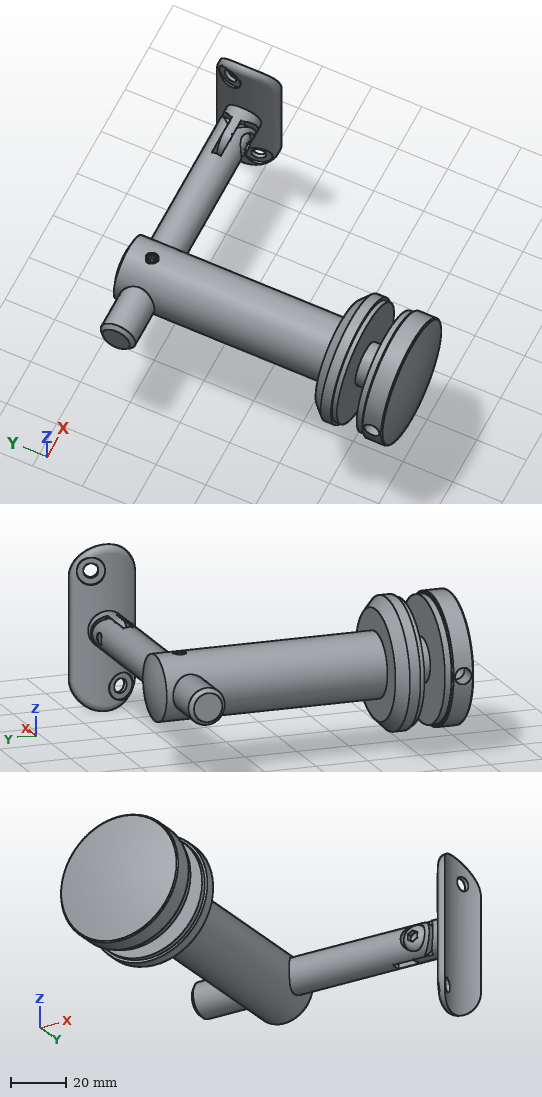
import cadquery as cq
import math


POST_RADIUS = 12.5
POST_RIM_Y = 9.5
POST_DOME_RISE = 2.5
POST_LENGTH = 85.2

DISC_RADIUS = 2 * POST_RADIUS
GASKET_RADIUS = 23.9
SLEEVE_RADIUS = 8.5
FLANGE_CONE_HEIGHT = 4.1
FLANGE_RIM_HEIGHT = 4.1
BACK_GASKET_THICKNESS = 1.9
GLASS_GAP = 7.9
FRONT_GASKET_THICKNESS = 2.5
DISC_THICKNESS = 8.3
DISC_CHAMFER = 0.5
DISC_DOME_RISE = 3.0
SPANNER_HOLE_RADIUS = 3.1
SPANNER_HOLE_DEPTH = 7.2
DRILL_POINT_ANGLE = 118

ARM_RADIUS = 14.0 / 2
ARM_END_X = -30.0
ARM_CHAMFER = 1.5
HINGE_X = 64.9
FORK_SLOT_WIDTH = 3.6
FORK_SLOT_X = 53.5
KNUCKLE_CLEARANCE = 1.5

HINGE_HEAD_RADIUS = 5.2
HINGE_HEAD_SEAT = 3.8
HINGE_HEAD_ROUND = 3.1
HINGE_SHANK_RADIUS = 2.3
HINGE_SOCKET_FLATS = 4.0
HINGE_SOCKET_DEPTH = 1.9

SET_SCREW_RADIUS = 2.4
SET_SCREW_TOP_Z = 12.2
SET_SCREW_CHAMFER = 0.6
SET_SOCKET_FLATS = 2.5
SET_SOCKET_DEPTH = 2.4

PLATE_BACK_X = 77.9
PLATE_BEND_RADIUS = 20.9
PLATE_THICKNESS = 2.6
PLATE_HALF_WIDTH = 12.5
PLATE_HALF_HEIGHT = 63.0 / 2
PLATE_STRAIGHT_Z = 19.9
PLATE_FILLET = 2.4
PLATE_HOLE_RADIUS = 2.8
PLATE_SEAT_RADIUS = 5.2
PLATE_SEAT_DEPTH = 1.0
PLATE_HOLE_ANGLE = 14.7
PLATE_HOLE_Z = 22.3

FLANGE_Y = POST_RIM_Y - POST_LENGTH
FLANGE_RIM_Y = FLANGE_Y - FLANGE_CONE_HEIGHT
BACK_GASKET_Y = FLANGE_RIM_Y - FLANGE_RIM_HEIGHT
GLASS_Y = BACK_GASKET_Y - BACK_GASKET_THICKNESS
FRONT_GASKET_Y = GLASS_Y - GLASS_GAP
DISC_Y = FRONT_GASKET_Y - FRONT_GASKET_THICKNESS
DISC_RIM_Y = DISC_Y - DISC_THICKNESS

PLATE_OUTER_RADIUS = PLATE_BEND_RADIUS + PLATE_THICKNESS
BEND_AXIS_X = PLATE_BACK_X + PLATE_BEND_RADIUS


def rod(start, direction, length, radius):
    """Cylinder from a start point along a direction."""
    return cq.Workplane(obj=cq.Solid.makeCylinder(radius, length, cq.Vector(*start), cq.Vector(*direction)))


def rod_x(start, end, radius):
    return rod((start, 0, 0), (1, 0, 0), end - start, radius)


def rod_y(start, end, radius, x=0):
    return rod((x, start, 0), (0, 1, 0), end - start, radius)


def upright(radius, x):
    """Cylinder along Z, taller than the plate."""
    height = 3 * PLATE_HALF_HEIGHT
    return rod((x, 0, -height / 2), (0, 0, 1), height, radius)


def drill_tip(start, direction, radius):
    """Cone left by a drill at the bottom of a hole."""
    height = radius / math.tan(math.radians(DRILL_POINT_ANGLE / 2))
    return cq.Workplane(obj=cq.Solid.makeCone(radius, 0, height, cq.Vector(*start), cq.Vector(*direction)))


def hex_corners(flats):
    """Distance across the corners of a hexagon."""
    return flats / math.cos(math.pi / 6)


def fork_slab(start, end):
    """Slab in the middle of the hinge, as wide as the fork slot."""
    size = 4 * ARM_RADIUS
    return cq.Workplane("XY").box(end - start, FORK_SLOT_WIDTH, size).translate(((start + end) / 2, 0, 0))


def hinge_drum(radius):
    """Cylinder round the hinge axis, wider than the arm."""
    return rod_y(-2 * ARM_RADIUS, 2 * ARM_RADIUS, radius, HINGE_X)


def revolve_round_y(profile):
    return profile.close().revolve(360, (0, 0, 0), (0, 1, 0))


def dome_mid(radius, rim_y, rise):
    """Point halfway along a dome arc that runs from the rim to the apex."""
    sphere_radius = (radius**2 + rise**2) / (2 * abs(rise))
    half_angle = math.asin(radius / sphere_radius) / 2
    sag = sphere_radius * (1 - math.cos(half_angle))
    return (sphere_radius * math.sin(half_angle), rim_y + rise - math.copysign(sag, rise))


def make_post():
    body = revolve_round_y(
        cq.Workplane("XY")
        .moveTo(0, FLANGE_Y)
        .lineTo(POST_RADIUS, FLANGE_Y)
        .lineTo(POST_RADIUS, POST_RIM_Y)
        .threePointArc(dome_mid(POST_RADIUS, POST_RIM_Y, POST_DOME_RISE), (0, POST_RIM_Y + POST_DOME_RISE))
    )
    arm_bore = rod_x(-2 * POST_RADIUS, 2 * POST_RADIUS, ARM_RADIUS)
    screw_hole = rod((0, 0, 0), (0, 0, 1), 2 * POST_RADIUS, SET_SCREW_RADIUS)
    return body.cut(arm_bore).cut(screw_hole)


def make_set_screw():
    length = SET_SCREW_TOP_Z - ARM_RADIUS
    screw = rod((0, 0, ARM_RADIUS), (0, 0, 1), length, SET_SCREW_RADIUS)
    screw = screw.faces(">Z").chamfer(SET_SCREW_CHAMFER)
    socket = (
        cq.Workplane("XY", origin=(0, 0, SET_SCREW_TOP_Z))
        .transformed(rotate=(0, 0, 90))
        .polygon(6, hex_corners(SET_SOCKET_FLATS))
        .extrude(-SET_SOCKET_DEPTH)
    )
    return screw.cut(socket)


def make_flange():
    return revolve_round_y(
        cq.Workplane("XY")
        .moveTo(0, FLANGE_Y)
        .lineTo(DISC_RADIUS - FLANGE_CONE_HEIGHT, FLANGE_Y)
        .lineTo(DISC_RADIUS, FLANGE_RIM_Y)
        .lineTo(DISC_RADIUS, BACK_GASKET_Y)
        .lineTo(0, BACK_GASKET_Y)
    )


def make_back_gasket():
    return rod_y(GLASS_Y, BACK_GASKET_Y, GASKET_RADIUS)


def make_front_gasket():
    """Gasket with the sleeve that passes through the glass."""
    gasket = rod_y(DISC_Y, FRONT_GASKET_Y, GASKET_RADIUS)
    sleeve = rod_y(FRONT_GASKET_Y, GLASS_Y, SLEEVE_RADIUS)
    return gasket.union(sleeve)


def make_disc():
    face_radius = DISC_RADIUS - DISC_CHAMFER
    body = revolve_round_y(
        cq.Workplane("XY")
        .moveTo(0, DISC_Y)
        .lineTo(face_radius, DISC_Y)
        .lineTo(DISC_RADIUS, DISC_Y - DISC_CHAMFER)
        .lineTo(DISC_RADIUS, DISC_RIM_Y + DISC_CHAMFER)
        .lineTo(face_radius, DISC_RIM_Y)
        .threePointArc(dome_mid(face_radius, DISC_RIM_Y, -DISC_DOME_RISE), (0, DISC_RIM_Y - DISC_DOME_RISE))
    )
    hole_y = (DISC_Y + DISC_RIM_Y) / 2
    hole = rod((-DISC_RADIUS, hole_y, 0), (1, 0, 0), SPANNER_HOLE_DEPTH, SPANNER_HOLE_RADIUS)
    tip = drill_tip((SPANNER_HOLE_DEPTH - DISC_RADIUS, hole_y, 0), (1, 0, 0), SPANNER_HOLE_RADIUS)
    return body.cut(hole).cut(tip)


def make_arm():
    shaft = rod_x(ARM_END_X, HINGE_X, ARM_RADIUS).faces("<X").chamfer(ARM_CHAMFER)
    fork_tip = rod_x(HINGE_X, HINGE_X + ARM_RADIUS, ARM_RADIUS).intersect(hinge_drum(ARM_RADIUS))
    slot = fork_slab(FORK_SLOT_X, HINGE_X + 2 * ARM_RADIUS)
    shank_hole = rod_y(-ARM_RADIUS, ARM_RADIUS, HINGE_SHANK_RADIUS, HINGE_X)
    head_recess = rod_y(-2 * ARM_RADIUS, -HINGE_HEAD_SEAT, HINGE_HEAD_RADIUS, HINGE_X)
    return shaft.union(fork_tip).cut(slot).cut(shank_hole).cut(head_recess)


def make_hinge_screw():
    shank_end_y = math.sqrt(ARM_RADIUS**2 - HINGE_SHANK_RADIUS**2)
    shank = rod_y(-HINGE_HEAD_SEAT, shank_end_y, HINGE_SHANK_RADIUS)
    head = rod_y(-ARM_RADIUS, -HINGE_HEAD_SEAT, HINGE_HEAD_RADIUS)
    head = head.faces("<Y").edges().fillet(HINGE_HEAD_ROUND)
    screw = head.union(shank)
    socket = (
        cq.Workplane("XZ", origin=(0, -ARM_RADIUS, 0))
        .transformed(rotate=(0, 0, 90))
        .polygon(6, hex_corners(HINGE_SOCKET_FLATS))
        .extrude(-HINGE_SOCKET_DEPTH)
    )
    tip = drill_tip((0, HINGE_SOCKET_DEPTH - ARM_RADIUS, 0), (0, 1, 0), HINGE_SOCKET_FLATS / 2)
    return screw.cut(socket).cut(tip).translate((HINGE_X, 0, 0))


def make_knuckle():
    """Round stub with a tongue that fills the fork, seated on the plate."""
    round_end = rod_x(HINGE_X - ARM_RADIUS, HINGE_X, ARM_RADIUS).intersect(hinge_drum(ARM_RADIUS))
    stub = rod_x(HINGE_X, BEND_AXIS_X, ARM_RADIUS).cut(upright(PLATE_OUTER_RADIUS, BEND_AXIS_X))
    tongue_sides = hinge_drum(ARM_RADIUS + KNUCKLE_CLEARANCE).cut(
        fork_slab(HINGE_X - 2 * ARM_RADIUS, HINGE_X + 2 * ARM_RADIUS)
    )
    shank_hole = rod_y(-ARM_RADIUS, ARM_RADIUS, HINGE_SHANK_RADIUS, HINGE_X)
    return round_end.union(stub).cut(tongue_sides).cut(shank_hole)


def make_plate():
    outline = (
        cq.Workplane("YZ")
        .moveTo(-PLATE_HALF_WIDTH, -PLATE_STRAIGHT_Z)
        .threePointArc((0, -PLATE_HALF_HEIGHT), (PLATE_HALF_WIDTH, -PLATE_STRAIGHT_Z))
        .lineTo(PLATE_HALF_WIDTH, PLATE_STRAIGHT_Z)
        .threePointArc((0, PLATE_HALF_HEIGHT), (-PLATE_HALF_WIDTH, PLATE_STRAIGHT_Z))
        .close()
        .extrude(BEND_AXIS_X)
    )
    shell = upright(PLATE_OUTER_RADIUS, BEND_AXIS_X).cut(upright(PLATE_BEND_RADIUS, BEND_AXIS_X))
    plate = outline.intersect(shell)
    plate = plate.faces(cq.selectors.NearestToPointSelector((0, 0, 0))).edges().fillet(PLATE_FILLET)
    for side in (1, -1):
        angle = math.radians(PLATE_HOLE_ANGLE) * side
        inward = cq.Vector(math.cos(angle), -math.sin(angle), 0)
        axis_point = cq.Vector(BEND_AXIS_X, 0, PLATE_HOLE_Z * side)
        seat_floor = axis_point - inward * (PLATE_OUTER_RADIUS - PLATE_SEAT_DEPTH)
        hole = rod(seat_floor.toTuple(), inward.toTuple(), 2 * PLATE_THICKNESS, PLATE_HOLE_RADIUS)
        seat = rod(seat_floor.toTuple(), (-inward).toTuple(), 2 * PLATE_THICKNESS, PLATE_SEAT_RADIUS)
        plate = plate.cut(hole).cut(seat)
    return plate


post = make_post()
set_screw = make_set_screw()
flange = make_flange()
back_gasket = make_back_gasket()
front_gasket = make_front_gasket()
disc = make_disc()
arm = make_arm()
hinge_screw = make_hinge_screw()
knuckle = make_knuckle()
plate = make_plate()

result = cq.Compound.makeCompound([
    post.solids().val(),
    set_screw.solids().val(),
    flange.solids().val(),
    back_gasket.solids().val(),
    front_gasket.solids().val(),
    disc.solids().val(),
    arm.solids().val(),
    hinge_screw.solids().val(),
    knuckle.solids().val(),
    plate.solids().val(),
])